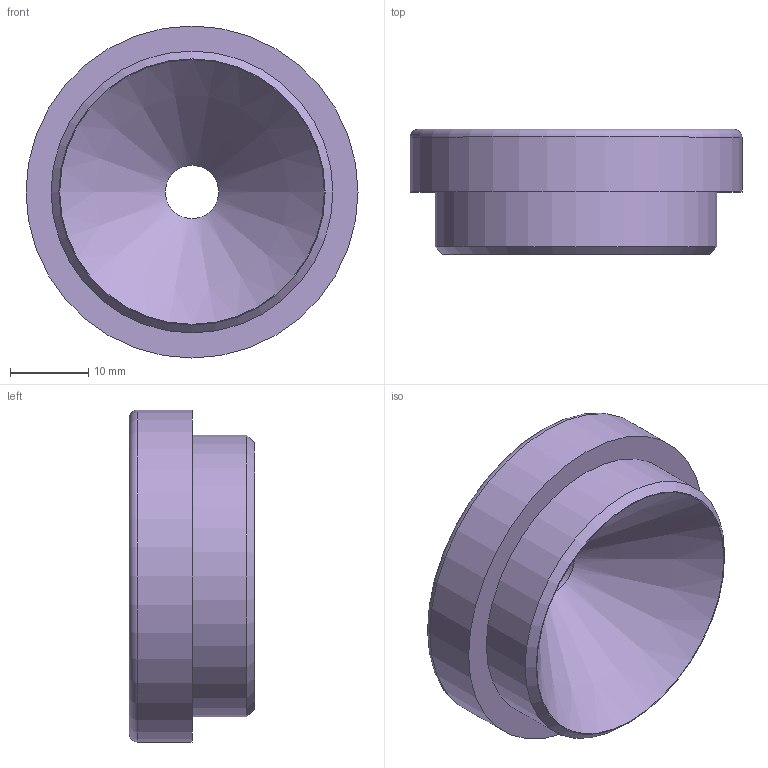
import cadquery as cq

flange_diameter = 42.4
flange_thickness = 8.0
spigot_diameter = 36.0
spigot_length = 8.0
spigot_chamfer = 1.0
flange_fillet = 1.0
bore_diameter = 6.8
bore_length = 2.5
mouth_diameter = 33.8

mouth_y = -spigot_length
back_y = flange_thickness
throat_y = back_y - bore_length


def make_body():
    """Flange with a rounded back rim and a spigot with a chamfered front rim."""
    flange = (
        cq.Workplane("XZ")
        .circle(flange_diameter / 2)
        .extrude(-flange_thickness)
        .faces(">Y")
        .edges()
        .fillet(flange_fillet)
    )
    spigot = (
        cq.Workplane("XZ")
        .circle(spigot_diameter / 2)
        .extrude(spigot_length)
        .faces("<Y")
        .edges()
        .chamfer(spigot_chamfer)
    )
    return flange.union(spigot)


def make_funnel():
    """Conical mouth narrowing to a short straight bore through the back face."""
    return (
        cq.Workplane("XY")
        .moveTo(0, mouth_y)
        .lineTo(mouth_diameter / 2, mouth_y)
        .lineTo(bore_diameter / 2, throat_y)
        .lineTo(bore_diameter / 2, back_y)
        .lineTo(0, back_y)
        .close()
        .revolve(360, (0, 0, 0), (0, 1, 0))
    )


result = make_body().cut(make_funnel())